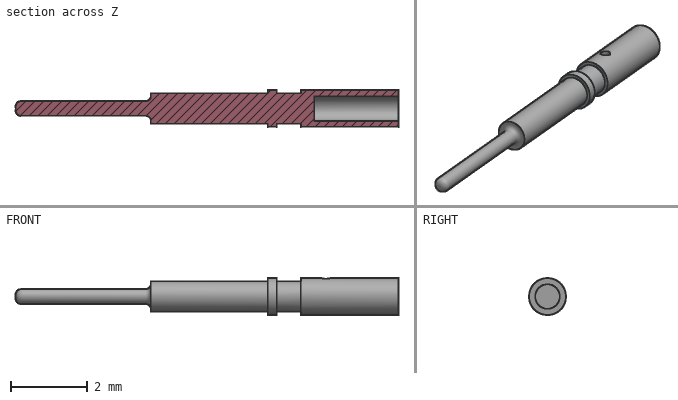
import cadquery as cq
import math

total_length = 10.03
barrel_radius = 0.486
body_radius = 0.4
pin_radius = 0.2
tip_round = 0.16
root_fillet = 0.12

shoulder_x = 3.54
collar_start_x = 6.6
collar_end_x = 6.84
barrel_start_x = 7.47

bore_radius = 0.32
bore_depth = 2.21
hole_diameter = 0.25
hole_x = 8.12


def turned_profile():
    """Half section of the solid contact, with X as the axis of revolution."""
    diagonal = math.sqrt(0.5)
    tip_flat_radius = pin_radius - tip_round
    tip_mid = (tip_round * (1 - diagonal), tip_flat_radius + tip_round * diagonal)
    root_start_x = shoulder_x - root_fillet
    root_end_radius = pin_radius + root_fillet
    root_mid = (root_start_x + root_fillet * diagonal, root_end_radius - root_fillet * diagonal)
    return (
        cq.Workplane("XY")
        .lineTo(0, tip_flat_radius)
        .threePointArc(tip_mid, (tip_round, pin_radius))
        .lineTo(root_start_x, pin_radius)
        .threePointArc(root_mid, (shoulder_x, root_end_radius))
        .lineTo(shoulder_x, body_radius)
        .lineTo(collar_start_x, body_radius)
        .lineTo(collar_start_x, barrel_radius)
        .lineTo(collar_end_x, barrel_radius)
        .lineTo(collar_end_x, body_radius)
        .lineTo(barrel_start_x, body_radius)
        .lineTo(barrel_start_x, barrel_radius)
        .lineTo(total_length, barrel_radius)
        .lineTo(total_length, 0)
        .close()
    )


def wire_bore():
    """Blind bore entering from the +X end."""
    return (
        cq.Workplane("YZ", origin=(total_length - bore_depth, 0, 0))
        .circle(bore_radius)
        .extrude(bore_depth)
    )


def inspection_hole():
    """Radial hole through the top wall only, opening into the bore."""
    return (
        cq.Workplane("XY", origin=(hole_x, 0, 0))
        .circle(hole_diameter / 2)
        .extrude(barrel_radius)
    )


contact = turned_profile().revolve(360, (0, 0, 0), (1, 0, 0))
result = contact.cut(wire_bore()).cut(inspection_hole())